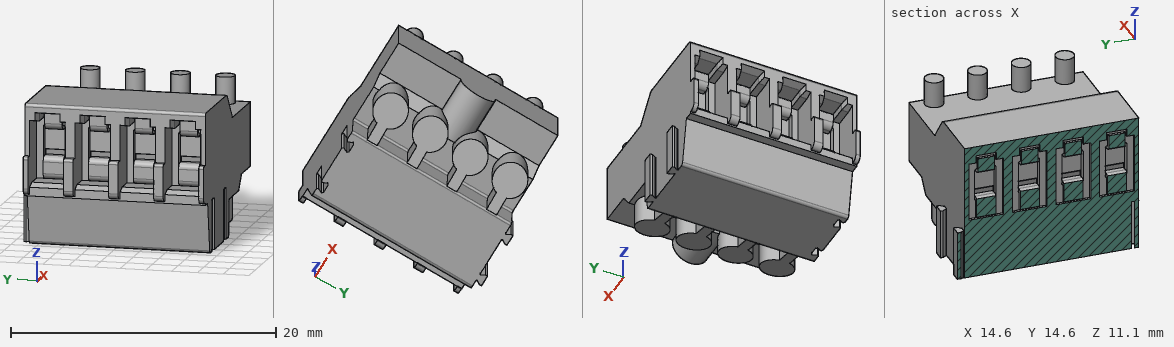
import cadquery as cq

poles = 4
pitch = 3.5
body_width = poles * pitch
length = 14.6
height = 11.1
pole_centres = [pitch * (i + 0.5) for i in range(poles)]
pole_boundaries = [pitch * i for i in range(poles + 1)]

face_x = 0.58
shoulder_z = 4.0
plug_front_x = 1.28
plug_foot_x = 1.95
plug_back_x = 7.85
plug_back_top_x = 7.94
step_z = 2.89
step_end_x = 10.95
slope_end_x = 11.85
rear_deck_z = 8.98
top_end_x = 7.27
deck_start_x = 9.01
top_front_radius = 0.23
top_back_radius = 0.5
plug_front_radius = 0.25
plug_back_radius = 0.18

rib_thickness = 0.75
rib_bottom_z = 4.16
rib_top_z = 7.1
rib_top_radius = 0.19
rib_bottom_radius = 0.48

opening_width = pitch - rib_thickness
opening_floor_z = 4.67
opening_top_z = 9.84
notch_width = 1.95
notch_top_z = 10.45
lead_in_depth = 0.67
lead_in_inset = 0.18
floor_rise = 0.25
opening_depth = 2.18
opening_back_x = face_x + opening_depth

recess_width = 1.72
recess_bottom_z = 6.37
recess_top_z = 9.07
recess_depth = 0.5
recess_corner_radius = 0.15
tongue_reach = 0.35
upper_tongue_width = 1.36
upper_tongue_bottom_z = 8.75
upper_tongue_top_z = 10.03
upper_tongue_radius = 0.5
lower_tongue_width = 1.58
lower_tongue_top_z = 6.7
lower_tongue_radius = 0.44
wedge_top_z = 7.11
wedge_overhang = 0.07
recess_back_x = opening_back_x + recess_depth
tongue_front_x = opening_back_x - tongue_reach

dovetail_centres_x = (2.96, 6.67)
rail_height = 0.57
rail_tip_width = 0.89
rail_neck_width = 0.51
rail_tip_straight = 0.19
rail_neck_straight = 0.06
groove_mouth_width = 0.76
groove_neck_width = 0.53
groove_tip_width = 0.9
groove_flank_depth = 0.38

pin_radius = 0.75

post_radius = 1.35
post_x = slope_end_x - post_radius
web_width = 0.88
post_bottom_z = 1.08
post_bottom_start_x = 7.52
lug_radius = 1.52
lug_axis_z = 3.8


def extrude_across(points, y_centre, width):
    """Extrude an XZ outline across Y, centred on y_centre."""
    start = y_centre - width / 2
    return cq.Workplane("XZ", origin=(0, start, 0)).polyline(points).close().extrude(-width)


def round_edge(solid, x, y, z, radius):
    """Round the edge whose middle lies nearest to the given point."""
    return solid.edges(cq.selectors.NearestToPointSelector((x, y, z))).fillet(radius)


def make_housing():
    outline = [
        (face_x, height),
        (top_end_x, height),
        (deck_start_x, rear_deck_z),
        (length, rear_deck_z),
        (length, shoulder_z),
        (slope_end_x, shoulder_z),
        (step_end_x, step_z),
        (plug_back_top_x, step_z),
        (plug_back_x, 0),
        (plug_foot_x, 0),
        (plug_front_x, shoulder_z),
        (face_x, shoulder_z),
    ]
    mid_y = body_width / 2
    housing = extrude_across(outline, mid_y, body_width)
    housing = round_edge(housing, face_x, mid_y, height, top_front_radius)
    housing = round_edge(housing, top_end_x, mid_y, height, top_back_radius)
    housing = round_edge(housing, plug_foot_x, mid_y, 0, plug_front_radius)
    housing = round_edge(housing, plug_back_x, mid_y, 0, plug_back_radius)
    return round_edge(housing, plug_back_top_x, mid_y, step_z, plug_back_radius)


def make_rib(y_boundary):
    """Rib on a pole boundary; the end ribs keep only the half within the housing."""
    y_low = max(y_boundary - rib_thickness / 2, 0)
    y_high = min(y_boundary + rib_thickness / 2, body_width)
    rib = cq.Workplane("XY").box(face_x, y_high - y_low, rib_top_z - rib_bottom_z, centered=False)
    rib = rib.translate((0, y_low, rib_bottom_z))
    mid_y = (y_low + y_high) / 2
    rib = round_edge(rib, 0, mid_y, rib_top_z, rib_top_radius)
    return round_edge(rib, 0, mid_y, rib_bottom_z, rib_bottom_radius)


def opening_outline(y_centre, inset, rise):
    """Stepped YZ outline of an opening, with its top shrunk by inset and its floor raised."""
    side = opening_width / 2
    notch_side = notch_width / 2 - inset
    floor = opening_floor_z + rise
    ceiling = opening_top_z - inset
    half = [(side, floor), (side, ceiling), (notch_side, ceiling), (notch_side, notch_top_z - inset)]
    mirrored = [(-y, z) for y, z in reversed(half)]
    return [(y_centre + y, z) for y, z in half + mirrored]


def make_opening(y_centre):
    outer = opening_outline(y_centre, 0, 0)
    inner = opening_outline(y_centre, lead_in_inset, floor_rise)
    lead_in = (
        cq.Workplane("YZ", origin=(face_x, 0, 0))
        .polyline(outer)
        .close()
        .workplane(offset=lead_in_depth)
        .polyline(inner)
        .close()
        .loft(ruled=True)
    )
    pocket = (
        cq.Workplane("YZ", origin=(face_x + lead_in_depth, 0, 0))
        .polyline(inner)
        .close()
        .extrude(opening_depth - lead_in_depth)
    )
    recess = (
        cq.Workplane("YZ", origin=(opening_back_x, y_centre, (recess_bottom_z + recess_top_z) / 2))
        .rect(recess_width, recess_top_z - recess_bottom_z)
        .extrude(recess_depth)
        .edges("|X")
        .fillet(recess_corner_radius)
    )
    return lead_in.union(pocket).union(recess)


def make_tongue(y_centre, width, bottom_z, top_z):
    """Square-edged tongue from the back of the recess to tongue_front_x."""
    return (
        cq.Workplane("XY")
        .box(recess_back_x - tongue_front_x, width, top_z - bottom_z, centered=(False, True, False))
        .translate((tongue_front_x, y_centre, bottom_z))
    )


def make_upper_tongue(y_centre):
    tongue = make_tongue(y_centre, upper_tongue_width, upper_tongue_bottom_z, upper_tongue_top_z)
    return round_edge(tongue, tongue_front_x, y_centre, upper_tongue_bottom_z, upper_tongue_radius)


def make_lower_tongue(y_centre):
    floor_z = opening_floor_z + floor_rise
    tongue = make_tongue(y_centre, lower_tongue_width, floor_z, lower_tongue_top_z)
    tongue = round_edge(tongue, tongue_front_x, y_centre, lower_tongue_top_z, lower_tongue_radius)
    return round_edge(tongue, tongue_front_x, y_centre, floor_z, lower_tongue_radius)


def make_wedge(y_centre):
    """Wedge on the back of the recess that leans out above the lower tongue."""
    outline = [
        (recess_back_x, lower_tongue_top_z),
        (recess_back_x - wedge_overhang, wedge_top_z),
        (recess_back_x, wedge_top_z),
    ]
    return extrude_across(outline, y_centre, lower_tongue_width)


def extrude_dovetail(half_outline, x_centre, y_start):
    """Mirror half an XY outline about x_centre and extrude it up to the shoulder."""
    outline = half_outline + [(-x, y) for x, y in reversed(half_outline)]
    dovetail = cq.Workplane("XY").polyline(outline).close().extrude(shoulder_z)
    return dovetail.translate((x_centre, y_start, 0))


def make_rail(x_centre):
    neck = rail_neck_width / 2
    tip = rail_tip_width / 2
    half = [
        (neck, 0),
        (neck, rail_neck_straight),
        (tip, rail_height - rail_tip_straight),
        (tip, rail_height),
    ]
    return extrude_dovetail(half, x_centre, body_width)


def make_groove(x_centre):
    """Dovetail groove with a bevelled mouth and equally bevelled inner corners."""
    mouth = groove_mouth_width / 2
    neck = groove_neck_width / 2
    tip = groove_tip_width / 2
    bevel = mouth - neck
    tip_depth = bevel + groove_flank_depth
    half = [
        (mouth, 0),
        (neck, bevel),
        (tip, tip_depth),
        (tip - bevel, tip_depth + bevel),
    ]
    return extrude_dovetail(half, x_centre, 0)


def make_pin(y_centre):
    pin = cq.Workplane("XY").circle(pin_radius).extrude(height - rear_deck_z)
    return pin.translate((length - pin_radius, y_centre, rear_deck_z))


def make_post(y_centre):
    """Round post joined to the plug block by a web, with one sloped bottom face."""
    post = cq.Workplane("XY").circle(post_radius).extrude(shoulder_z).translate((post_x, y_centre, 0))
    web = (
        cq.Workplane("XY")
        .box(post_x - post_bottom_start_x, web_width, step_z, centered=(False, True, False))
        .translate((post_bottom_start_x, y_centre, 0))
    )
    below_slope = extrude_across(
        [(post_bottom_start_x, 0), (slope_end_x, 0), (slope_end_x, post_bottom_z)],
        y_centre,
        pitch,
    )
    return post.union(web).cut(below_slope)


def make_lug():
    """Half-round lug hanging under the rear of the housing, midway across it."""
    return (
        cq.Workplane("YZ", origin=(post_x, body_width / 2, lug_axis_z))
        .moveTo(-lug_radius, shoulder_z - lug_axis_z)
        .lineTo(-lug_radius, 0)
        .threePointArc((0, -lug_radius), (lug_radius, 0))
        .lineTo(lug_radius, shoulder_z - lug_axis_z)
        .close()
        .extrude(length - post_x)
    )


result = make_housing()

for y in pole_centres:
    result = result.cut(make_opening(y))
    result = result.union(make_upper_tongue(y)).union(make_lower_tongue(y)).union(make_wedge(y))
    result = result.union(make_pin(y)).union(make_post(y))
result = result.union(make_lug())

for y in pole_boundaries:
    result = result.union(make_rib(y))

for x in dovetail_centres_x:
    result = result.union(make_rail(x)).cut(make_groove(x))